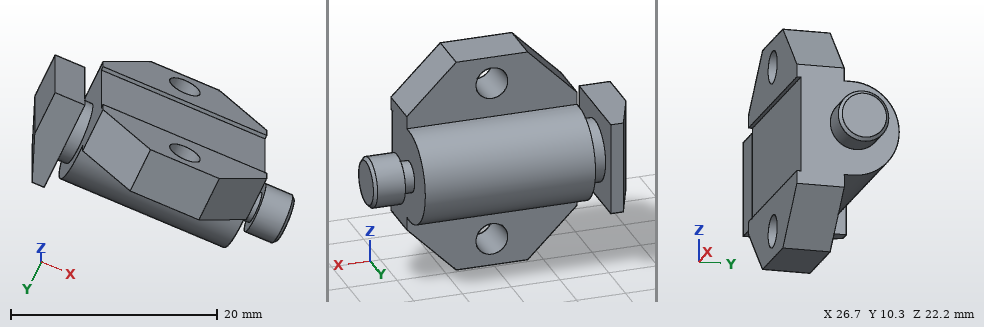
import cadquery as cq

jaw_length = 3.17
collar_length = 1.57
body_length = 17.47
neck_length = 1.28
head_length = 3.17
body_start = jaw_length + collar_length
body_end = body_start + body_length
body_center = (body_start + body_end) / 2

body_width = 9.52
body_radius = body_width / 2
groove_depth = 0.4
overall_depth = 10.32
axis_y = overall_depth - body_radius
collar_diameter = 6.35
neck_diameter = 3.17
head_diameter = 5.1
head_chamfer = 0.32

flange_height = 22.25
flange_thickness = 4.77
corner_chamfer = 5.07
hole_diameter = 3.25
hole_spacing = 16.67

jaw_front = 0.8
jaw_back = overall_depth
jaw_taper = 1.9


def rod(start, length, diameter):
    """Cylinder along X on the screw axis."""
    return (
        cq.Workplane("YZ", origin=(start, axis_y, 0))
        .circle(diameter / 2)
        .extrude(length)
    )


def make_flange():
    """Octagonal plate with a shallow groove and two mounting holes."""
    plate = (
        cq.Workplane("XY")
        .box(body_length, flange_thickness, flange_height)
        .edges("|Y")
        .chamfer(corner_chamfer)
        .translate((body_center, flange_thickness / 2, 0))
    )
    groove = cq.Workplane("XY").box(body_length, 2 * groove_depth, body_width)
    holes = (
        cq.Workplane("XZ", origin=(body_center, 0, 0))
        .pushPoints([(0, -hole_spacing / 2), (0, hole_spacing / 2)])
        .circle(hole_diameter / 2)
        .extrude(-flange_thickness)
    )
    return plate.cut(groove.translate((body_center, 0, 0))).cut(holes)


def make_body():
    """Round-backed housing around the screw, flat at the groove floor."""
    return (
        cq.Workplane("YZ", origin=(body_start, 0, 0))
        .moveTo(groove_depth, -body_radius)
        .lineTo(axis_y, -body_radius)
        .threePointArc((overall_depth, 0), (axis_y, body_radius))
        .lineTo(groove_depth, body_radius)
        .close()
        .extrude(body_length)
    )


def make_jaw():
    """Block with its outer face tapered beyond the screw axis."""
    return (
        cq.Workplane("XY")
        .polyline([
            (0, jaw_front),
            (jaw_length, jaw_front),
            (jaw_length, jaw_back),
            (jaw_taper, jaw_back),
            (0, axis_y),
        ])
        .close()
        .extrude(body_radius, both=True)
    )


collar = rod(jaw_length, collar_length, collar_diameter)
neck = rod(body_end, neck_length, neck_diameter)
head = rod(body_end + neck_length, head_length, head_diameter).faces(">X").chamfer(head_chamfer)

result = make_flange().union(make_body()).union(make_jaw()).union(collar).union(neck).union(head)